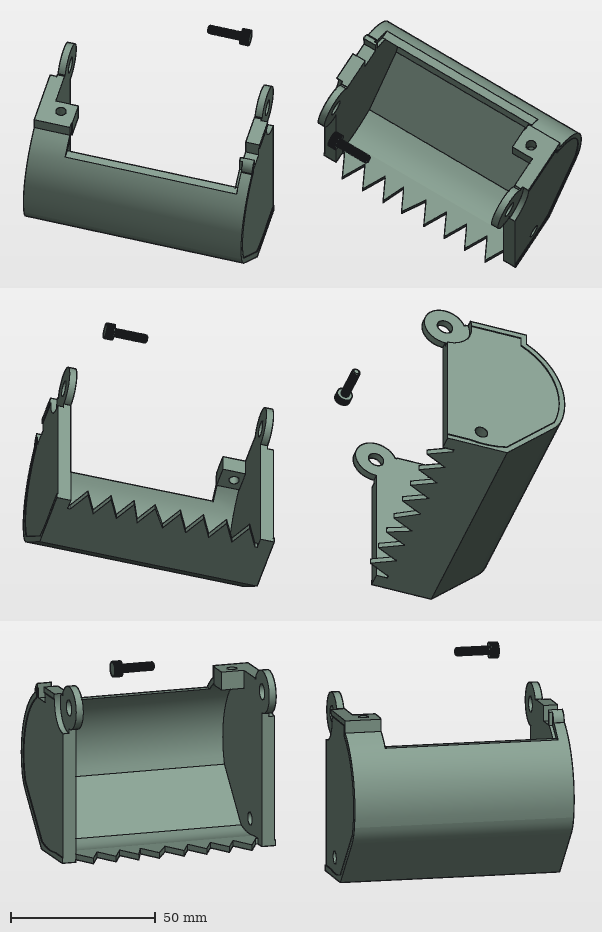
import cadquery as cq
import math

LENGTH = 78.0
WALL = 2.0
TOP_Z = 58.35
STEP_Y = -28.9
ARC_CENTRE_Y = -14.75
ARC_CENTRE_Z = 29.65
ARC_RADIUS = 28.2
HEEL_Y = -21.85
UNDERSIDE_BLEND = 13.1
FLOOR_FLAT_END_Y = -8.0
FLOOR_LOW_Y = -13.65
FLOOR_LOW_Z = 1.55
FLOOR_FRONT_Z = 2.7

END_WALL = 5.0
END_RECESS = 0.3
EAR_THICKNESS = 2.6
EAR_RADIUS = 7.6
EAR_HOLE = 5.5
EAR_Y = 0.12
EAR_Z = 55.15
EAR_POCKET_RADIUS = 9.05
EAR_LEDGE = 0.3
SIDE_HOLE = 4.5
SIDE_HOLE_Y = -12.5
SIDE_HOLE_Z = 7.1

OPENING_LEFT = 12.8
OPENING_RIGHT = 74.2
OPENING_Z = 49.3
BOSS_BACK_Y = -18.95
BOSS_RIGHT = 13.1
BOSS_HEIGHT = 6.4
BOSS_HOLE = 3.5
BOSS_HOLE_X = 7.95
BOSS_HOLE_Y = -22.9
LIP_BACK_Y = -25.75
LIP_FRONT_Y = -28.6

TOOTH_COUNT = 8
TOOTH_ROOT_Y = -4.05
TOOTH_TIP_Y = 4.05
TOOTH_MARGIN = 0.85
UNEVEN_TOOTH = 4
UNEVEN_SHIFT = 0.8

SCREW_TIP_X = 50.1
SCREW_BACK_Y = 18.25
SCREW_TOP_Z = 74.4
SHANK_LENGTH = 12.0
SHANK_DIAMETER = 3.0
ROOT_DIAMETER = 2.35
TIP_DIAMETER = 1.95
PITCH = 0.5
GROOVE_WIDTH = 0.45
CUT_OVERLAP = 0.04
HEAD_DIAMETER = 5.5
HEAD_LENGTH = 3.05
HEAD_CHAMFER = 0.2
KNURL_START = 0.5
KNURL_COUNT = 60
KNURL_DEPTH = 0.12

INNER_TOP_Z = TOP_Z - WALL
INNER_STEP_Y = STEP_Y + WALL
FRONT_Y = ARC_CENTRE_Y - ARC_RADIUS
INNER_RADIUS = ARC_RADIUS - WALL
INNER_HEEL_Y = HEEL_Y + WALL * math.sqrt(2)
RIGHT_WALL_X = LENGTH - END_WALL
SCREW_Y = SCREW_BACK_Y - HEAD_DIAMETER / 2
SCREW_Z = SCREW_TOP_Z - HEAD_DIAMETER / 2


def curve_z(radius, y):
    """Height of the front curve's upper half at a given y."""
    return ARC_CENTRE_Z + math.sqrt(radius**2 - (y - ARC_CENTRE_Y)**2)


def curve_meets_underside(radius, heel_y):
    """Point where the front curve meets the 45 degree line rising forward from (heel_y, 0)."""
    offset = heel_y - ARC_CENTRE_Y - ARC_CENTRE_Z
    rise = (offset + math.sqrt(2 * radius**2 - offset**2)) / 2
    return ARC_CENTRE_Y + offset - rise, ARC_CENTRE_Z + rise


def box(x0, x1, y0, y1, z0, z1):
    """Block between two corners."""
    return cq.Workplane("XY").box(x1 - x0, y1 - y0, z1 - z0, centered=False).translate((x0, y0, z0))


def x_cylinder(x0, x1, y, z, radius):
    """Cylinder along X, centred at (y, z)."""
    return cq.Workplane("YZ", origin=(x0, y, z)).circle(radius).extrude(x1 - x0)


def curved_front(profile, radius, heel_y):
    """Draw the front curve downward from its current upper end to the underside line."""
    return profile.threePointArc(
        (ARC_CENTRE_Y - radius, ARC_CENTRE_Z), curve_meets_underside(radius, heel_y)
    )


def outer_block():
    """Full outline of the sheet's outer surface, over the whole length."""
    profile = (
        cq.Workplane("YZ")
        .moveTo(0, 0)
        .lineTo(0, TOP_Z)
        .lineTo(STEP_Y, TOP_Z)
        .lineTo(STEP_Y, curve_z(ARC_RADIUS, STEP_Y))
    )
    profile = curved_front(profile, ARC_RADIUS, HEEL_Y).lineTo(HEEL_Y, 0).close()
    corner_y, corner_z = curve_meets_underside(ARC_RADIUS, HEEL_Y)
    corner = cq.selectors.NearestToPointSelector((LENGTH / 2, corner_y, corner_z))
    return profile.extrude(LENGTH).edges(corner).fillet(UNDERSIDE_BLEND)


def inner_block(x0, x1):
    """The space inside the sheet, between two x positions."""
    profile = (
        cq.Workplane("YZ", origin=(x0, 0, 0))
        .moveTo(0, WALL)
        .lineTo(0, INNER_TOP_Z)
        .lineTo(INNER_STEP_Y, INNER_TOP_Z)
        .lineTo(INNER_STEP_Y, curve_z(INNER_RADIUS, INNER_STEP_Y))
    )
    return (
        curved_front(profile, INNER_RADIUS, INNER_HEEL_Y)
        .lineTo(INNER_HEEL_Y - FLOOR_FRONT_Z, FLOOR_FRONT_Z)
        .threePointArc((FLOOR_LOW_Y, FLOOR_LOW_Z), (FLOOR_FLAT_END_Y, WALL))
        .close()
        .extrude(x1 - x0)
    )


def tooth_edge():
    """Flat plate between the end walls whose rear edge is cut to teeth."""
    first_x = END_WALL + TOOTH_MARGIN
    pitch = (LENGTH - 2 * first_x) / TOOTH_COUNT
    points = [(END_WALL, TOOTH_ROOT_Y), (first_x, TOOTH_ROOT_Y)]
    for tooth in range(TOOTH_COUNT):
        shift = UNEVEN_SHIFT if tooth == UNEVEN_TOOTH else 0
        points.append((first_x + (tooth + 0.5) * pitch + shift, TOOTH_TIP_Y))
        points.append((first_x + (tooth + 1) * pitch + shift, TOOTH_ROOT_Y))
    points += [
        (RIGHT_WALL_X, TOOTH_ROOT_Y),
        (RIGHT_WALL_X, FLOOR_FLAT_END_Y),
        (END_WALL, FLOOR_FLAT_END_Y),
    ]
    return cq.Workplane("XY").polyline(points).close().extrude(WALL)


def sheet():
    """Bent sheet, opened at the top and front, with the toothed rear edge."""
    body = outer_block().cut(inner_block(0, LENGTH))
    body = body.cut(box(END_WALL, RIGHT_WALL_X, INNER_STEP_Y, 0, INNER_TOP_Z, TOP_Z))
    body = body.cut(box(OPENING_LEFT, OPENING_RIGHT, FRONT_Y, INNER_STEP_Y, OPENING_Z, TOP_Z))
    body = body.cut(box(END_WALL, RIGHT_WALL_X, FLOOR_FLAT_END_Y, 0, 0, WALL))
    return body.union(tooth_edge())


def left_boss():
    """Block beside the left end of the opening."""
    return box(END_WALL, BOSS_RIGHT, INNER_STEP_Y, BOSS_BACK_Y, TOP_Z - BOSS_HEIGHT, TOP_Z)


def boss_hole():
    """Vertical hole through the boss."""
    return (
        cq.Workplane("XY", origin=(BOSS_HOLE_X, BOSS_HOLE_Y, TOP_Z - BOSS_HEIGHT))
        .circle(BOSS_HOLE / 2)
        .extrude(BOSS_HEIGHT)
    )


def with_ear(body, ear_x, pocket_x):
    """Add an ear to the wall; ear_x and pocket_x are the x ranges of the ear and its clearance."""
    ledge = box(*ear_x, EAR_Y - EAR_RADIUS, 0, TOP_Z - EAR_LEDGE, TOP_Z)
    pocket = x_cylinder(*pocket_x, EAR_Y, EAR_Z, EAR_POCKET_RADIUS)
    ear = x_cylinder(*ear_x, EAR_Y, EAR_Z, EAR_RADIUS)
    hole = x_cylinder(*ear_x, EAR_Y, EAR_Z, EAR_HOLE / 2)
    return body.cut(ledge).cut(pocket).union(ear).cut(hole)


def right_notch():
    """Slot across the top of the right wall, behind the lip."""
    floor_z = curve_z(INNER_RADIUS, INNER_STEP_Y)
    return box(RIGHT_WALL_X, LENGTH, LIP_BACK_Y, BOSS_BACK_Y, floor_z, TOP_Z)


def lip_rounding():
    """Material outside the rounded front of the lip, which ends upright at its foot."""
    foot_z = curve_z(ARC_RADIUS, STEP_Y)
    radius = TOP_Z - foot_z
    corner = box(RIGHT_WALL_X, LENGTH, STEP_Y, LIP_BACK_Y, foot_z, TOP_Z)
    return corner.cut(x_cylinder(RIGHT_WALL_X, LENGTH, LIP_FRONT_Y + radius, foot_z, radius))


def make_housing():
    body = sheet()
    body = body.union(inner_block(END_RECESS, END_WALL))
    body = body.union(inner_block(RIGHT_WALL_X, LENGTH - END_RECESS))
    body = body.union(left_boss()).cut(boss_hole())
    ear_start = END_WALL - EAR_THICKNESS
    body = with_ear(body, (ear_start, END_WALL), (0, ear_start))
    body = with_ear(body, (RIGHT_WALL_X, LENGTH - ear_start), (LENGTH - ear_start, LENGTH))
    body = body.cut(right_notch()).cut(lip_rounding())
    return body.cut(x_cylinder(0, END_WALL, SIDE_HOLE_Y, SIDE_HOLE_Z, SIDE_HOLE / 2))


def screw_blank():
    """Plain screw turned about the X axis, with its tip at the origin."""
    shank = SHANK_DIAMETER / 2
    tip = TIP_DIAMETER / 2
    head = HEAD_DIAMETER / 2
    end_x = SHANK_LENGTH + HEAD_LENGTH
    outline = [
        (0, 0),
        (0, tip),
        (shank - tip, shank),
        (SHANK_LENGTH, shank),
        (SHANK_LENGTH, head),
        (end_x - HEAD_CHAMFER, head),
        (end_x, head - HEAD_CHAMFER),
        (end_x, 0),
    ]
    return cq.Workplane("XY").polyline(outline).close().revolve(360, (0, 0, 0), (1, 0, 0))


def thread_groove():
    """Helical V groove along the shank."""
    root = ROOT_DIAMETER / 2
    surface = SHANK_DIAMETER / 2 + CUT_OVERLAP
    half_width = GROOVE_WIDTH / 2
    helix = cq.Wire.makeHelix(PITCH, SHANK_LENGTH - half_width, root)
    groove = (
        cq.Workplane("XZ")
        .polyline([(root, 0), (surface, half_width), (surface, -half_width)])
        .close()
        .sweep(cq.Workplane(helix), isFrenet=True)
    )
    return groove.rotate((0, 0, 0), (0, 1, 0), 90)


def knurl_grooves():
    """Straight V grooves around the head."""
    head = HEAD_DIAMETER / 2
    bottom = head - KNURL_DEPTH
    outside = head + KNURL_DEPTH
    half_width = KNURL_DEPTH
    groove = (
        cq.Workplane("YZ", origin=(SHANK_LENGTH + KNURL_START, 0, 0))
        .polyline([(0, bottom), (half_width, outside), (-half_width, outside)])
        .close()
        .extrude(HEAD_LENGTH)
        .val()
    )
    step = 360 / KNURL_COUNT
    return [groove.rotate(cq.Vector(0, 0, 0), cq.Vector(1, 0, 0), step * i) for i in range(KNURL_COUNT)]


def make_screw():
    body = screw_blank().val().cut(*knurl_grooves())
    body = body.cut(thread_groove().val()).Solids()[0]
    return body.translate(cq.Vector(SCREW_TIP_X, SCREW_Y, SCREW_Z))


housing = make_housing().solids().val()
screw = make_screw()

result = cq.Compound.makeCompound([housing, screw])